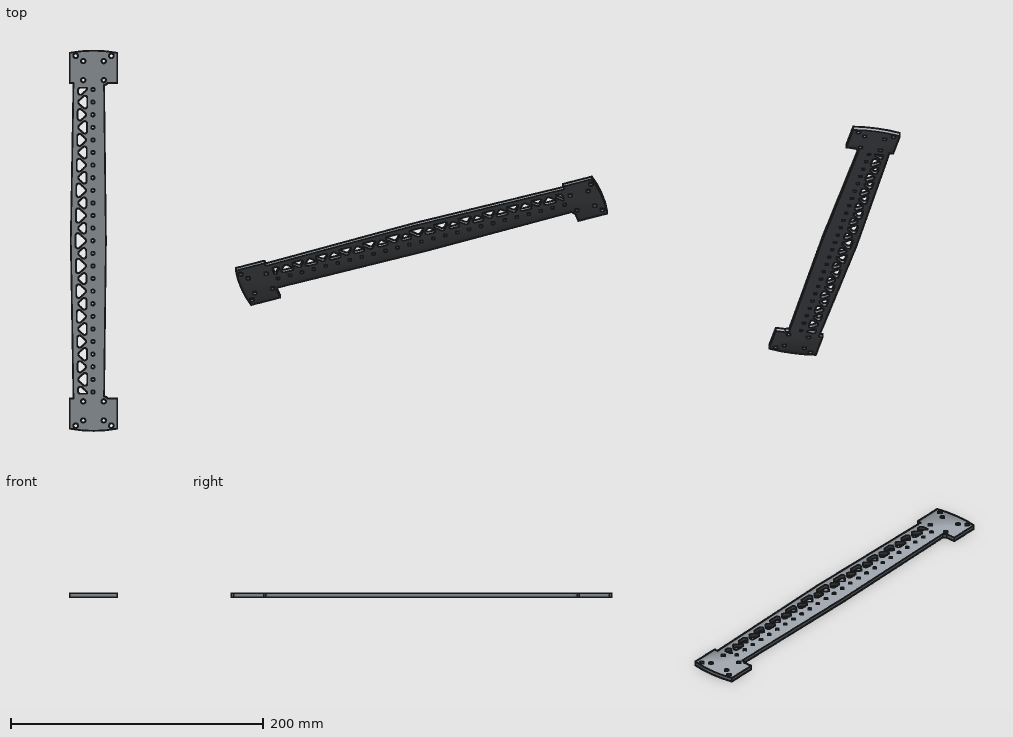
import cadquery as cq
import math

LENGTH = 301.7
HEAD_WIDTH = 38.0
THICKNESS = 3.3
HEAD_INNER_Y = 125.0
HEAD_CORNER_Y = 149.0

LEFT_EDGE_END = -16.0
LEFT_EDGE_MID = -18.0
RIGHT_EDGE_END = 8.5
RIGHT_EDGE_MID = 10.0

ROW_SPAN = 239.8
LAST_STATION = 12
PITCH = ROW_SPAN / (2 * LAST_STATION)
ROW_X = -0.45
ROW_HOLE_DIAMETER = 2.5

MOUNT_HOLE_DIAMETER = 3.3
MOUNT_HOLE_X = 8.0
MOUNT_HOLE_ROWS = (127.3, 142.5)
MOUNT_PAD_RADIUS = 4.0
CORNER_HOLE_DIAMETER = 3.5
CORNER_HOLE_X = 14.2
CORNER_HOLE_Y = 146.5

STRUT_WIDTH = 2.0
TRUSS_WIDTH = 11.0
TRUSS_CENTER_X = -9.0
WINDOW_LEFT_MARGIN = 4.0
TRUSS_RIGHT_END = -4.8
TRUSS_RIGHT_MID = -6.0
TRUSS_END_Y = 121.3
WINDOW_RADIUS = 1.8
END_TIP_RADIUS = 1.0

STRUT_SLOPE = PITCH / TRUSS_WIDTH
TIP_SETBACK = STRUT_WIDTH / 2 / math.sin(math.atan(STRUT_SLOPE))
LEFT_TIP_X = TRUSS_CENTER_X - TRUSS_WIDTH / 2 + TIP_SETBACK
RIGHT_TIP_X = TRUSS_CENTER_X + TRUSS_WIDTH / 2 - TIP_SETBACK


def taper(end_x, mid_x, y):
    """X of a straight edge that runs from mid_x at y = 0 to end_x at the heads."""
    return mid_x + (end_x - mid_x) * abs(y) / HEAD_INNER_Y


def make_plate():
    """Beam with a wider head at each end, whose outer edge is a shallow arc."""
    half_width = HEAD_WIDTH / 2
    half_length = LENGTH / 2
    outline = (
        cq.Workplane("XY")
        .moveTo(-half_width, HEAD_CORNER_Y)
        .threePointArc((0, half_length), (half_width, HEAD_CORNER_Y))
        .lineTo(half_width, HEAD_INNER_Y)
        .lineTo(RIGHT_EDGE_END, HEAD_INNER_Y)
        .lineTo(RIGHT_EDGE_MID, 0)
        .lineTo(RIGHT_EDGE_END, -HEAD_INNER_Y)
        .lineTo(half_width, -HEAD_INNER_Y)
        .lineTo(half_width, -HEAD_CORNER_Y)
        .threePointArc((0, -half_length), (-half_width, -HEAD_CORNER_Y))
        .lineTo(-half_width, -HEAD_INNER_Y)
        .lineTo(LEFT_EDGE_END, -HEAD_INNER_Y)
        .lineTo(LEFT_EDGE_MID, 0)
        .lineTo(LEFT_EDGE_END, HEAD_INNER_Y)
        .lineTo(-half_width, HEAD_INNER_Y)
        .close()
    )
    return outline.extrude(THICKNESS)


def cylinders(points, diameter):
    """Plate-thick cylinders, used as hole cutters and as pads."""
    return cq.Workplane("XY").pushPoints(points).circle(diameter / 2).extrude(THICKNESS)


def window(corners, tip_radius=WINDOW_RADIUS):
    """Triangular through cutter with rounded corners; the first corner is the tip."""
    prism = cq.Workplane("XY").polyline(corners).close().extrude(THICKNESS)
    tip = cq.NearestToPointSelector((*corners[0], THICKNESS / 2))
    prism = prism.edges(tip).fillet(tip_radius)
    for corner in corners[1:]:
        base_corner = cq.NearestToPointSelector((*corner, THICKNESS / 2))
        prism = prism.edges(base_corner).fillet(WINDOW_RADIUS)
    return prism


def left_pointing_window(y):
    base_x = taper(TRUSS_RIGHT_END, TRUSS_RIGHT_MID, y)
    rise = (base_x - LEFT_TIP_X) * STRUT_SLOPE
    return window([(LEFT_TIP_X, y), (base_x, y - rise), (base_x, y + rise)])


def window_left_x(y):
    """X of the truss border that runs parallel to the left beam edge."""
    return taper(LEFT_EDGE_END, LEFT_EDGE_MID, y) + WINDOW_LEFT_MARGIN


def right_pointing_window(y):
    base_x = window_left_x(y)
    rise = (RIGHT_TIP_X - base_x) * STRUT_SLOPE
    return window([(RIGHT_TIP_X, y), (base_x, y + rise), (base_x, y - rise)])


def end_window(side):
    """Triangle between the last strut and the solid head; side is +1 or -1."""
    station_y = LAST_STATION * PITCH
    base_x = window_left_x(station_y)
    rise = (RIGHT_TIP_X - base_x) * STRUT_SLOPE
    corner_x = RIGHT_TIP_X + (TRUSS_END_Y - station_y) / STRUT_SLOPE
    corners = [
        (corner_x, side * TRUSS_END_Y),
        (base_x, side * TRUSS_END_Y),
        (base_x, side * (station_y - rise)),
    ]
    return window(corners, END_TIP_RADIUS)


result = make_plate()

pad_points = [(MOUNT_HOLE_X, side * MOUNT_HOLE_ROWS[0]) for side in (-1, 1)]
result = result.union(cylinders(pad_points, 2 * MOUNT_PAD_RADIUS))

stations = range(-LAST_STATION, LAST_STATION + 1)
result = result.cut(cylinders([(ROW_X, i * PITCH) for i in stations], ROW_HOLE_DIAMETER))

for side in (-1, 1):
    mount_points = [(x, side * y) for x in (-MOUNT_HOLE_X, MOUNT_HOLE_X) for y in MOUNT_HOLE_ROWS]
    corner_points = [(x, side * CORNER_HOLE_Y) for x in (-CORNER_HOLE_X, CORNER_HOLE_X)]
    result = result.cut(cylinders(mount_points, MOUNT_HOLE_DIAMETER))
    result = result.cut(cylinders(corner_points, CORNER_HOLE_DIAMETER))
    result = result.cut(end_window(side))

for i in range(1 - LAST_STATION, LAST_STATION):
    make_window = left_pointing_window if i % 2 else right_pointing_window
    result = result.cut(make_window(i * PITCH))